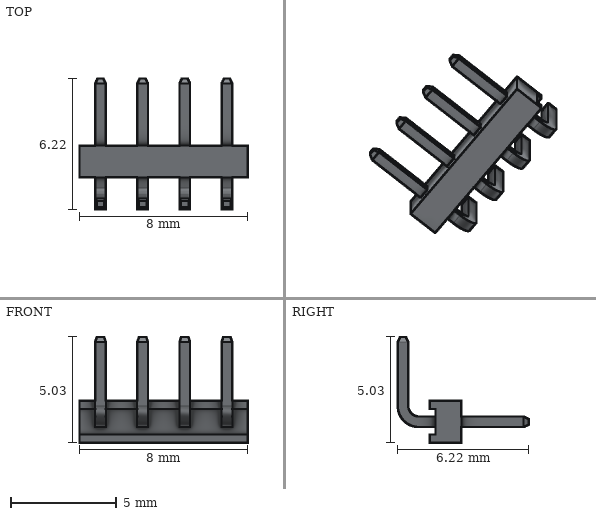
import cadquery as cq

HOUSING_LENGTH = 8.0
HOUSING_DEPTH = 1.5
HOUSING_HEIGHT = 2.0
CHANNEL_DEPTH = 0.27
LIP_HEIGHT = 0.4

PIN_COUNT = 4
PIN_PITCH = HOUSING_LENGTH / PIN_COUNT
PIN_SIZE = 0.51
HALF_PIN = PIN_SIZE / 2
BEND_INNER_RADIUS = 0.5
BEND_OUTER_RADIUS = BEND_INNER_RADIUS + PIN_SIZE

TIP_LENGTH = 0.25
TIP_SIZE = 0.27
UPPER_TIP_WIDTH = 0.35

FRONT_REACH = 1.52
REAR_REACH = 3.2
PIN_TOP = 4.03
PIN_FRONT = -FRONT_REACH
REAR_TIP_BASE = HOUSING_DEPTH + REAR_REACH - TIP_LENGTH
UPPER_TIP_BASE = PIN_TOP - TIP_LENGTH


def make_bent_bar(x):
    """L-shaped square bar without its tips, centred on x."""
    inner_face = PIN_FRONT + PIN_SIZE
    bend_start = PIN_FRONT + BEND_OUTER_RADIUS
    bend_end = BEND_OUTER_RADIUS - HALF_PIN
    return (
        cq.Workplane("YZ", origin=(x - HALF_PIN, 0, 0))
        .moveTo(REAR_TIP_BASE, -HALF_PIN)
        .lineTo(bend_start, -HALF_PIN)
        .radiusArc((PIN_FRONT, bend_end), BEND_OUTER_RADIUS)
        .lineTo(PIN_FRONT, UPPER_TIP_BASE)
        .lineTo(inner_face, UPPER_TIP_BASE)
        .lineTo(inner_face, bend_end)
        .radiusArc((bend_start, HALF_PIN), -BEND_INNER_RADIUS)
        .lineTo(REAR_TIP_BASE, HALF_PIN)
        .close()
        .extrude(PIN_SIZE)
    )


def make_upper_tip(x):
    """Tapered top end of the upright leg."""
    return (
        cq.Workplane("XY", origin=(x, PIN_FRONT + HALF_PIN, UPPER_TIP_BASE))
        .rect(PIN_SIZE, PIN_SIZE)
        .workplane(offset=TIP_LENGTH)
        .rect(UPPER_TIP_WIDTH, TIP_SIZE)
        .loft()
    )


def make_rear_tip(x):
    """Tapered +Y end of the horizontal leg; the XZ plane's normal points to -Y."""
    return (
        cq.Workplane("XZ", origin=(x, REAR_TIP_BASE, 0))
        .rect(PIN_SIZE, PIN_SIZE)
        .workplane(offset=-TIP_LENGTH)
        .rect(TIP_SIZE, TIP_SIZE)
        .loft()
    )


def make_pin(x):
    """One complete bent pin, centred on x."""
    return make_bent_bar(x).union(make_upper_tip(x)).union(make_rear_tip(x))


def make_housing_bar():
    """Bar with the channel between its upper and lower lips."""
    centred_in_x_and_z = (True, False, True)
    bar = cq.Workplane("XY").box(
        HOUSING_LENGTH, HOUSING_DEPTH, HOUSING_HEIGHT, centered=centred_in_x_and_z
    )
    channel = cq.Workplane("XY").box(
        HOUSING_LENGTH, CHANNEL_DEPTH, HOUSING_HEIGHT - 2 * LIP_HEIGHT, centered=centred_in_x_and_z
    )
    return bar.cut(channel)


def make_housing(integral_pins, loose_pins):
    """Housing in one piece with the integral pins, with a matching hole for each loose pin."""
    housing = make_housing_bar()
    for pin in integral_pins:
        housing = housing.union(pin)
    for pin in loose_pins:
        housing = housing.cut(pin)
    return housing.solids()


pin_places = [(i - (PIN_COUNT - 1) / 2) * PIN_PITCH for i in range(PIN_COUNT)]
end_pins = [make_pin(x) for x in (pin_places[0], pin_places[-1])]
middle_pins = [make_pin(x) for x in pin_places[1:-1]]
housing = make_housing(end_pins, middle_pins)

result = cq.Compound.makeCompound([housing.val(), *[pin.val() for pin in middle_pins]])